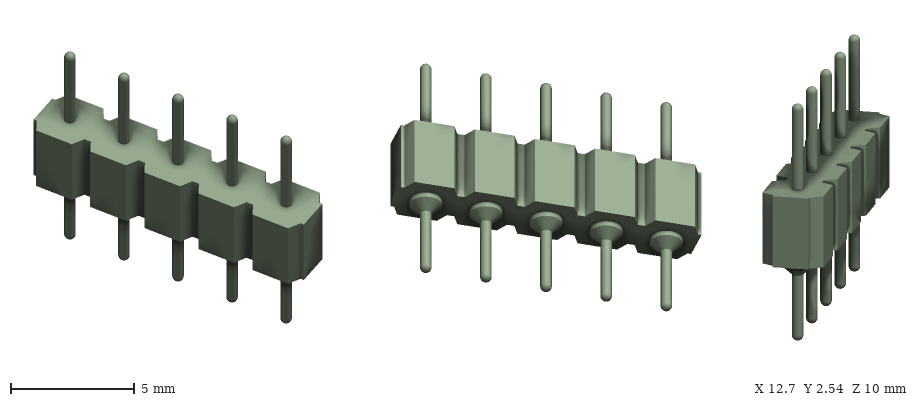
import cadquery as cq
import math


pin_count = 5
strip_length = 12.7
pitch = strip_length / pin_count

housing_depth = 2.54
housing_height = 3.0
end_face_width = 1.49
notch_shelf = 0.15
front_inset = 0.43

barrel_diameter = 1.8
collar_diameter = 1.35
collar_height = 0.2
cone_height = 0.4
wire_diameter = 0.47
upper_wire_length = 3.6
lower_wire_length = 2.81


def make_housing(x_center):
    """One block with sloped, notched corners and a round bore through it."""
    end_x = pitch / 2
    shelf_x = end_x - notch_shelf
    front_x = end_x - front_inset
    shelf_y = end_face_width / 2
    front_y = housing_depth / 2
    right_half = [
        (front_x, -front_y),
        (shelf_x, -shelf_y),
        (end_x, -shelf_y),
        (end_x, shelf_y),
        (shelf_x, shelf_y),
        (front_x, front_y),
    ]
    left_half = [(-x, -y) for x, y in right_half]
    block = cq.Workplane("XY").polyline(right_half + left_half).close().extrude(housing_height)
    bore = cq.Workplane("XY").circle(barrel_diameter / 2).extrude(housing_height)
    return block.cut(bore).translate((x_center, 0, 0))


def make_pin(x_center):
    """One pin, revolved about its own axis, with a hemisphere at each tip."""
    wire_radius = wire_diameter / 2
    collar_radius = collar_diameter / 2
    barrel_radius = barrel_diameter / 2
    collar_bottom = -collar_height
    cone_bottom = collar_bottom - cone_height
    bottom_tip = cone_bottom - lower_wire_length
    top_tip = housing_height + upper_wire_length
    bottom_dome_center = bottom_tip + wire_radius
    top_dome_center = top_tip - wire_radius
    dome_mid = wire_radius * math.sqrt(0.5)

    profile = (
        cq.Workplane("XZ")
        .moveTo(0, bottom_tip)
        .threePointArc((dome_mid, bottom_dome_center - dome_mid), (wire_radius, bottom_dome_center))
        .lineTo(wire_radius, cone_bottom)
        .lineTo(collar_radius, collar_bottom)
        .lineTo(collar_radius, 0)
        .lineTo(barrel_radius, 0)
        .lineTo(barrel_radius, housing_height)
        .lineTo(wire_radius, housing_height)
        .lineTo(wire_radius, top_dome_center)
        .threePointArc((dome_mid, top_dome_center + dome_mid), (0, top_tip))
        .close()
    )
    return profile.revolve(360, (0, 0), (0, 1)).translate((x_center, 0, 0))


first_center = -(strip_length - pitch) / 2
cell_centers = [first_center + index * pitch for index in range(pin_count)]

housings = [make_housing(x_center).val() for x_center in cell_centers]
pins = [make_pin(x_center).val() for x_center in cell_centers]

result = cq.Compound.makeCompound([*housings, *pins])